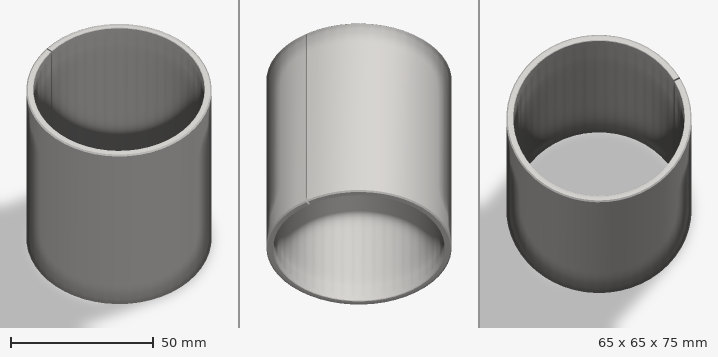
import cadquery as cq

outer_diameter = 65.0
wall_thickness = 2.5
length = 75.0
outer_chamfer = 0.5
inner_chamfer = 0.2

full_turn = 360.0
split_angle = 1.0
split_edge_angle = 180.0

outer_radius = outer_diameter / 2
inner_radius = outer_radius - wall_thickness
half_length = length / 2


def make_wall_section():
    """Wall cross-section in the XZ plane, chamfered at all four corners."""
    points = [
        (inner_radius, -half_length + inner_chamfer),
        (inner_radius + inner_chamfer, -half_length),
        (outer_radius - outer_chamfer, -half_length),
        (outer_radius, -half_length + outer_chamfer),
        (outer_radius, half_length - outer_chamfer),
        (outer_radius - outer_chamfer, half_length),
        (inner_radius + inner_chamfer, half_length),
        (inner_radius, half_length - inner_chamfer),
    ]
    return cq.Workplane("XZ").polyline(points).close()


def make_split_sleeve():
    """Sweep the wall almost a full turn about Z; the remainder is the joint."""
    axis_start = (0, 0, 0)
    axis_end = (0, 1, 0)
    sleeve = make_wall_section().revolve(full_turn - split_angle, axis_start, axis_end)
    return sleeve.rotate((0, 0, 0), (0, 0, 1), split_edge_angle)


result = make_split_sleeve()